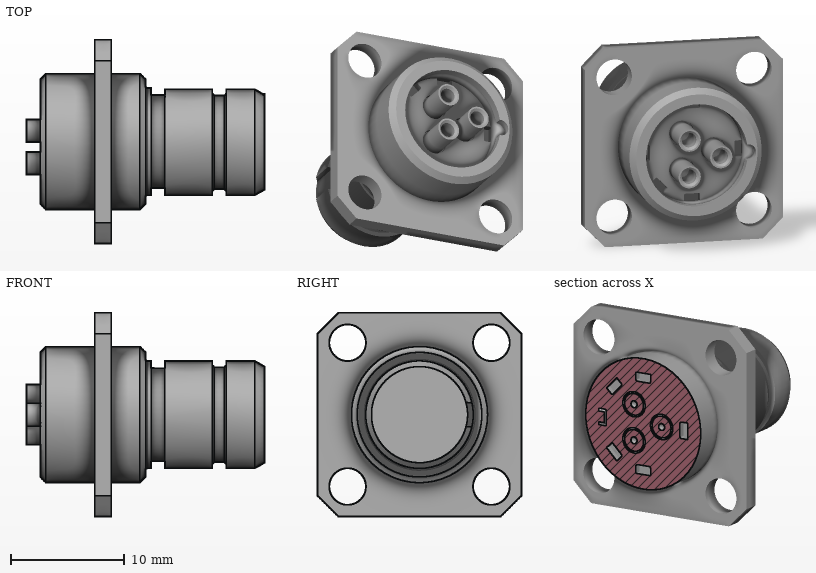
import cadquery as cq
import math

PIN_STANDOUT = 1.22
FLANGE_FRONT = 6.0
FLANGE_THICKNESS = 1.5
BODY_END = 10.5
LIP_END = 11.0
NECK_END = 12.2
GROOVE_START = 16.4
GROOVE_END = 17.62
END_CHAMFER_START = 20.12
TOTAL_LENGTH = 21.0

BODY_RADIUS = 6.0
BODY_CHAMFER = 0.5
BARREL_RADIUS = 4.75
LIP_FILLET = 0.15
NECK_RADIUS = 4.12
GROOVE_RADIUS = 4.2
GROOVE_CHAMFER = 0.17
END_RADIUS = 4.25

FLANGE_SIDE = 18.0
FLANGE_CHAMFER = 1.85
MOUNT_PITCH = 12.68
MOUNT_DIAMETER = 3.21

KEYWAY_WIDTH = 2.1

BORE_RADIUS = 4.62
INSERT_RADIUS = 4.54
RIM_BACK = 2.02
INSERT_FRONT = 2.1
INSERT_NOSE_RADIUS = 0.74
SOCKET_FLOOR = 3.0

PIN_CIRCLE_RADIUS = 1.91
PIN_ANGLES = (60, 180, 300)
PIN_RADIUS = 1.0
PIN_CLEARANCE_RADIUS = 1.13
PIN_CLEARANCE_DEPTH = 0.42
PIN_HOLE_MOUTH_RADIUS = 0.86
PIN_HOLE_RADIUS = 0.65
PIN_COUNTERSINK_DEPTH = 0.2
PIN_HOLE_DEPTH = 2.95
PIN_HOLE_TIP_RADIUS = 0.1
PIN_HOLE_TIP_DEPTH = 3.35

POCKET_ANGLES = (0, 45, 90, 180, 270, 315)
POCKET_WIDTH = 1.47
POCKET_INNER_RADIUS = 3.85
POCKET_DEPTH = POCKET_WIDTH / 2
POCKET_CORNER = 0.13

KEY_RADIUS = POCKET_WIDTH / 2
KEY_INNER_RADIUS = 4.01

NOTCH_RADIUS = 0.74
NOTCH_CENTER_RADIUS = 4.65


def revolve_about_axis(points):
    """Spin an (axial station, radius) outline around the X axis."""
    return cq.Workplane("XY").polyline(points).close().revolve(360, (0, 0, 0), (1, 0, 0))


def disc(start, end, radius, y=0, z=0):
    """Cylinder parallel to X between two stations."""
    return cq.Workplane("YZ", origin=(start, 0, 0)).center(y, z).circle(radius).extrude(end - start)


def turn(shape, angle):
    """Rotate about the X axis, from +Y towards +Z."""
    return shape.rotate((0, 0, 0), (1, 0, 0), angle)


def make_shell():
    body = revolve_about_axis([
        (PIN_STANDOUT, 0),
        (PIN_STANDOUT, BODY_RADIUS - BODY_CHAMFER),
        (PIN_STANDOUT + BODY_CHAMFER, BODY_RADIUS),
        (BODY_END - BODY_CHAMFER, BODY_RADIUS),
        (BODY_END, BODY_RADIUS - BODY_CHAMFER),
        (BODY_END, 0),
    ])
    lip = (
        cq.Workplane("XY")
        .moveTo(BODY_END, 0)
        .lineTo(BODY_END, BARREL_RADIUS + LIP_FILLET)
        .radiusArc((BODY_END + LIP_FILLET, BARREL_RADIUS), -LIP_FILLET)
        .lineTo(LIP_END, BARREL_RADIUS)
        .lineTo(LIP_END, 0)
        .close()
        .revolve(360, (0, 0, 0), (1, 0, 0))
    )
    barrel = revolve_about_axis([
        (LIP_END, 0),
        (LIP_END, NECK_RADIUS),
        (NECK_END, NECK_RADIUS),
        (NECK_END, BARREL_RADIUS),
        (GROOVE_START, BARREL_RADIUS),
        (GROOVE_START, GROOVE_RADIUS + GROOVE_CHAMFER),
        (GROOVE_START + GROOVE_CHAMFER, GROOVE_RADIUS),
        (GROOVE_END - GROOVE_CHAMFER, GROOVE_RADIUS),
        (GROOVE_END, GROOVE_RADIUS + GROOVE_CHAMFER),
        (GROOVE_END, BARREL_RADIUS),
        (END_CHAMFER_START, BARREL_RADIUS),
        (TOTAL_LENGTH, END_RADIUS),
        (TOTAL_LENGTH, 0),
    ])
    return body.union(lip).union(barrel)


def make_flange():
    plate = (
        cq.Workplane("YZ", origin=(FLANGE_FRONT, 0, 0))
        .rect(FLANGE_SIDE, FLANGE_SIDE)
        .extrude(FLANGE_THICKNESS)
        .edges("|X")
        .chamfer(FLANGE_CHAMFER)
    )
    return plate.faces("<X").workplane(origin=(FLANGE_FRONT, 0, 0)).rect(
        MOUNT_PITCH, MOUNT_PITCH, forConstruction=True
    ).vertices().hole(MOUNT_DIAMETER)


def make_keyway(start, end, floor_radius):
    """Straight slot on the +Y side with a floor concentric with the barrel."""
    slot = cq.Workplane("XY").box(
        end - start, BARREL_RADIUS, KEYWAY_WIDTH, centered=(False, False, True)
    ).translate((start, 0, 0))
    return slot.cut(disc(start, end, floor_radius))


def make_socket():
    """Cavity from the mouth to the floor, flaring behind the rim around the rounded insert edge."""
    mouth = disc(PIN_STANDOUT, RIM_BACK, BORE_RADIUS)
    nose_outer_radius = INSERT_RADIUS + INSERT_NOSE_RADIUS
    insert_space = (
        cq.Workplane("XY")
        .moveTo(RIM_BACK, 0)
        .lineTo(RIM_BACK, nose_outer_radius)
        .lineTo(INSERT_FRONT, nose_outer_radius)
        .radiusArc((INSERT_FRONT + INSERT_NOSE_RADIUS, INSERT_RADIUS), -INSERT_NOSE_RADIUS)
        .lineTo(SOCKET_FLOOR, INSERT_RADIUS)
        .lineTo(SOCKET_FLOOR, 0)
        .close()
        .revolve(360, (0, 0, 0), (1, 0, 0))
    )
    return mouth.union(insert_space)


def make_pocket():
    """Coding pocket on the +Y side, open outwards to the insert wall."""
    return (
        cq.Workplane("XY")
        .box(POCKET_DEPTH, BORE_RADIUS - POCKET_INNER_RADIUS, POCKET_WIDTH, centered=(False, False, True))
        .edges("|X and <Y")
        .fillet(POCKET_CORNER)
        .translate((SOCKET_FLOOR, POCKET_INNER_RADIUS, 0))
    )


def make_key():
    """Round-topped key lying along Y, its top level with the socket floor."""
    axis_station = SOCKET_FLOOR + KEY_RADIUS
    length = BORE_RADIUS - KEY_INNER_RADIUS
    return cq.Workplane("XZ", origin=(axis_station, BORE_RADIUS, 0)).circle(KEY_RADIUS).extrude(length)


def make_pin(angle):
    y = PIN_CIRCLE_RADIUS * math.cos(math.radians(angle))
    z = PIN_CIRCLE_RADIUS * math.sin(math.radians(angle))
    root = SOCKET_FLOOR + PIN_CLEARANCE_DEPTH
    bore = revolve_about_axis([
        (0, 0),
        (0, PIN_HOLE_MOUTH_RADIUS),
        (PIN_COUNTERSINK_DEPTH, PIN_HOLE_RADIUS),
        (PIN_HOLE_DEPTH, PIN_HOLE_RADIUS),
        (PIN_HOLE_TIP_DEPTH, PIN_HOLE_TIP_RADIUS),
        (PIN_HOLE_TIP_DEPTH, 0),
    ])
    pin = disc(0, root, PIN_RADIUS).cut(bore)
    return pin.translate((0, y, z)), disc(SOCKET_FLOOR, root, PIN_CLEARANCE_RADIUS, y, z)


result = make_shell().union(make_flange())
result = result.cut(make_keyway(NECK_END, GROOVE_END, NECK_RADIUS))
result = result.cut(make_keyway(GROOVE_END, TOTAL_LENGTH, END_RADIUS))

result = result.cut(make_socket())
for pocket_angle in POCKET_ANGLES:
    result = result.cut(turn(make_pocket(), pocket_angle))
result = result.union(make_key())
result = result.cut(disc(PIN_STANDOUT, RIM_BACK, NOTCH_RADIUS, -NOTCH_CENTER_RADIUS))

for pin_angle in PIN_ANGLES:
    pin, clearance = make_pin(pin_angle)
    result = result.cut(clearance).union(pin)